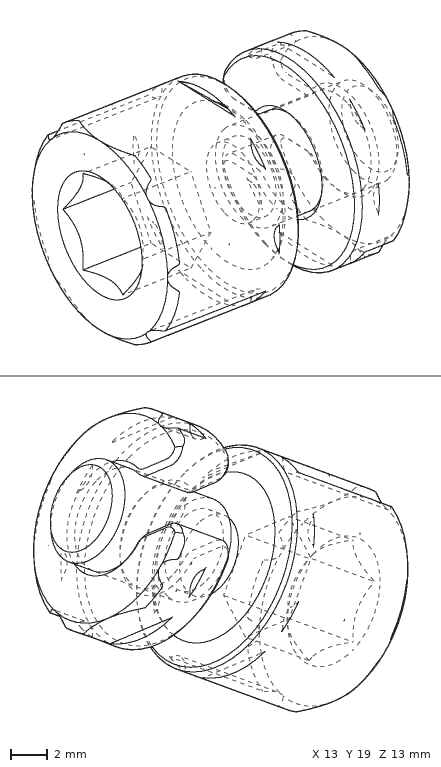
import cadquery as cq
import math


TOTAL_LENGTH = 19.0
FLANGE_START = 7.5
FLANGE_END = 8.99
BOSS_END = 9.39
NECK_END = 10.5
CLIP_START = 13.0
CLIP_FLANGE_END = 14.5
CLIP_END = 17.0

GRIP_RADIUS = 6.5
GRIP_CHAMFER = 0.5
FLANGE_CHAMFER = 0.2
BOSS_RADIUS = 4.9
BOSS_ROUND = 0.5
NECK_RADIUS = 2.38
SHAFT_RADIUS = 3.0
SHAFT_CHAMFER = 0.5

FLAT_DISTANCE = GRIP_RADIUS - GRIP_CHAMFER
FLUTE_RADIUS = 1.0
FLUTE_CENTRE_RADIUS = 7.0
FLUTE_ANGLES = (0, 45, 135, 180, 225, 315)
GRIP_EDGE_FILLET = 0.2

SOCKET_ACROSS_FLATS = 6.12
SOCKET_DEPTH = 5.0
SOCKET_MOUTH_RADIUS = 3.75

SLOT_WIDTH = 3.5
SLOT_FILLET = 1.0
CLIP_CHAMFER = 0.3


def plane_at(y):
    """Plane across the axis whose normal points to +Y and whose local axes are +Z and +X."""
    return cq.Workplane(cq.Plane(origin=(0, y, 0), xDir=(0, 0, 1), normal=(0, 1, 0)))


def cylinder(radius, start, end):
    return plane_at(start).circle(radius).extrude(end - start)


def fluted_grip(start, end):
    """Cylinder with a flat above and below and round flutes at the sides, all edges softened."""
    length = end - start
    band = plane_at(start).rect(2 * FLAT_DISTANCE, 2 * GRIP_RADIUS).extrude(length)
    grip = cylinder(GRIP_RADIUS, start, end).intersect(band)
    for angle in FLUTE_ANGLES:
        x = FLUTE_CENTRE_RADIUS * math.cos(math.radians(angle))
        z = FLUTE_CENTRE_RADIUS * math.sin(math.radians(angle))
        grip = grip.cut(cylinder(FLUTE_RADIUS, start, end).translate((x, 0, z)))
    return grip.edges("|Y").fillet(GRIP_EDGE_FILLET)


def make_head():
    grip = fluted_grip(0, FLANGE_START)
    grip = grip.intersect(cylinder(GRIP_RADIUS, 0, FLANGE_START).faces("<Y").chamfer(GRIP_CHAMFER))
    flange = cylinder(GRIP_RADIUS, FLANGE_START, FLANGE_END).faces(">Y").chamfer(FLANGE_CHAMFER)
    return grip.union(flange)


def make_stem():
    """Rounded boss, neck and shaft behind the head, turned in one piece."""
    blend_depth = BOSS_ROUND - (BOSS_END - FLANGE_END)
    blend_width = math.sqrt(BOSS_ROUND**2 - blend_depth**2)
    face_radius = BOSS_RADIUS - blend_width
    return (
        cq.Workplane("YZ")
        .moveTo(FLANGE_END, 0)
        .lineTo(FLANGE_END, BOSS_RADIUS)
        .radiusArc((BOSS_END, face_radius), BOSS_ROUND)
        .lineTo(BOSS_END, NECK_RADIUS)
        .lineTo(NECK_END, NECK_RADIUS)
        .lineTo(NECK_END, SHAFT_RADIUS)
        .lineTo(TOTAL_LENGTH - SHAFT_CHAMFER, SHAFT_RADIUS)
        .lineTo(TOTAL_LENGTH, SHAFT_RADIUS - SHAFT_CHAMFER)
        .lineTo(TOTAL_LENGTH, 0)
        .close()
        .revolve(360, (0, 0, 0), (1, 0, 0))
    )


def make_socket():
    """Hexagonal cavity with corners on the X axis and a 45 degree conical mouth."""
    across_corners = SOCKET_ACROSS_FLATS / math.cos(math.radians(30))
    hexagon = plane_at(0).polygon(6, across_corners).extrude(SOCKET_DEPTH)
    hexagon = hexagon.rotate((0, 0, 0), (0, 1, 0), 90)
    mouth = cq.Workplane(
        cq.Solid.makeCone(SOCKET_MOUTH_RADIUS, 0, SOCKET_MOUTH_RADIUS, cq.Vector(0, 0, 0), cq.Vector(0, 1, 0))
    )
    return hexagon.union(mouth)


def make_screw():
    return make_head().union(make_stem()).cut(make_socket())


def make_c_ring():
    """Chamfered ring around the shaft, open towards -X, with rounded tips."""
    thickness = CLIP_END - CLIP_START
    slot = (
        plane_at(CLIP_START)
        .center(0, -GRIP_RADIUS / 2)
        .rect(SLOT_WIDTH, GRIP_RADIUS)
        .extrude(thickness)
    )
    ring = cylinder(GRIP_RADIUS, CLIP_START, CLIP_END).cut(slot)
    ring = ring.cut(cylinder(SHAFT_RADIUS, CLIP_START, CLIP_END))
    inner_corner_x = -math.sqrt(SHAFT_RADIUS**2 - (SLOT_WIDTH / 2) ** 2)
    opening = cq.selectors.BoxSelector(
        (-GRIP_RADIUS, CLIP_START, -SLOT_WIDTH), (inner_corner_x + 0.19, CLIP_END, SLOT_WIDTH)
    )
    ring = ring.edges("|Y").edges(opening).fillet(SLOT_FILLET)
    return ring.faces("<Y or >Y").chamfer(CLIP_CHAMFER)


def make_clip():
    flange = cylinder(GRIP_RADIUS, CLIP_START, CLIP_FLANGE_END)
    outside = fluted_grip(CLIP_FLANGE_END, CLIP_END).union(flange)
    rim = cylinder(GRIP_RADIUS, CLIP_START, CLIP_END).faces(">Y").chamfer(GRIP_CHAMFER)
    return make_c_ring().intersect(outside).intersect(rim)


screw = make_screw()
clip = make_clip()

result = cq.Compound.makeCompound([screw.val(), clip.val()])